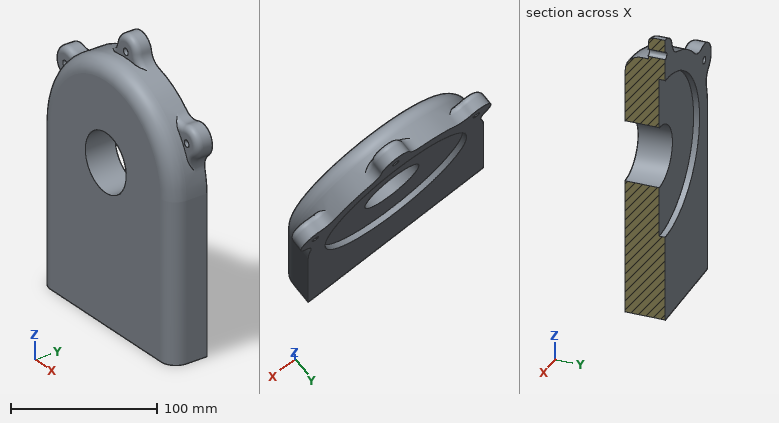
import cadquery as cq
import math

total_height = 220.6
body_width = 152.7
body_depth = 29.8
body_rounding = 12.5
bore_diameter = 47.0
recess_diameter = 123.3
recess_depth = 4.5

lug_radius = 12.5
lug_orbit = 81.0
lug_depth = 12.8
lug_rounding = 4.9
lug_hole_diameter = 5.3
blend_radius = 12.5
lug_root_radius = 68.5
lug_tilts = (-60, 0, 60)

body_radius = body_width / 2
arc_center_z = total_height - lug_radius - lug_orbit


def make_body():
    """Round-topped plate with its front sides and arch rounded, bored and recessed at the back."""
    plate = (
        cq.Workplane("XZ")
        .moveTo(-body_radius, 0)
        .lineTo(body_radius, 0)
        .lineTo(body_radius, arc_center_z)
        .threePointArc((0, arc_center_z + body_radius), (-body_radius, arc_center_z))
        .close()
        .extrude(body_depth)
    )
    bore = cq.Workplane("XZ").center(0, arc_center_z).circle(bore_diameter / 2).extrude(body_depth)
    recess = cq.Workplane("XZ").center(0, arc_center_z).circle(recess_diameter / 2).extrude(recess_depth)
    return plate.faces("<Y").edges("not <Z").fillet(body_rounding).cut(bore).cut(recess)


def make_lug():
    """Upright lug about the arch center, blended by arcs tangent to lug and arch."""
    to_lug = lug_radius + blend_radius
    to_arch = body_radius + blend_radius
    blend_z = (to_arch**2 - to_lug**2 + lug_orbit**2) / (2 * lug_orbit)
    blend_x = math.sqrt(to_arch**2 - blend_z**2)

    tip_share = lug_radius / to_lug
    tip_x = blend_x * tip_share
    tip_z = lug_orbit + (blend_z - lug_orbit) * tip_share
    foot_x = blend_x * body_radius / to_arch
    foot_z = blend_z * body_radius / to_arch
    root_x = blend_x * lug_root_radius / to_arch
    root_z = blend_z * lug_root_radius / to_arch

    chord_x = (tip_x + foot_x) / 2 - blend_x
    chord_z = (tip_z + foot_z) / 2 - blend_z
    stretch = blend_radius / math.hypot(chord_x, chord_z)
    middle_x = blend_x + chord_x * stretch
    middle_z = blend_z + chord_z * stretch

    lug = (
        cq.Workplane("XZ")
        .moveTo(-root_x, root_z)
        .lineTo(-foot_x, foot_z)
        .threePointArc((-middle_x, middle_z), (-tip_x, tip_z))
        .threePointArc((0, lug_orbit + lug_radius), (tip_x, tip_z))
        .threePointArc((middle_x, middle_z), (foot_x, foot_z))
        .lineTo(root_x, root_z)
        .close()
        .extrude(lug_depth)
    )
    hole = cq.Workplane("XZ").center(0, lug_orbit).circle(lug_hole_diameter / 2).extrude(lug_depth)
    return lug.faces("<Y").edges("%CIRCLE").fillet(lug_rounding).cut(hole)


def place_on_arch(solid, tilt):
    """Turn an upright solid about the arch axis and lift it to the arch center."""
    return solid.rotate((0, 0, 0), (0, 1, 0), tilt).translate((0, 0, arc_center_z))


result = make_body()
lug = make_lug()
for tilt in lug_tilts:
    result = result.union(place_on_arch(lug, tilt))